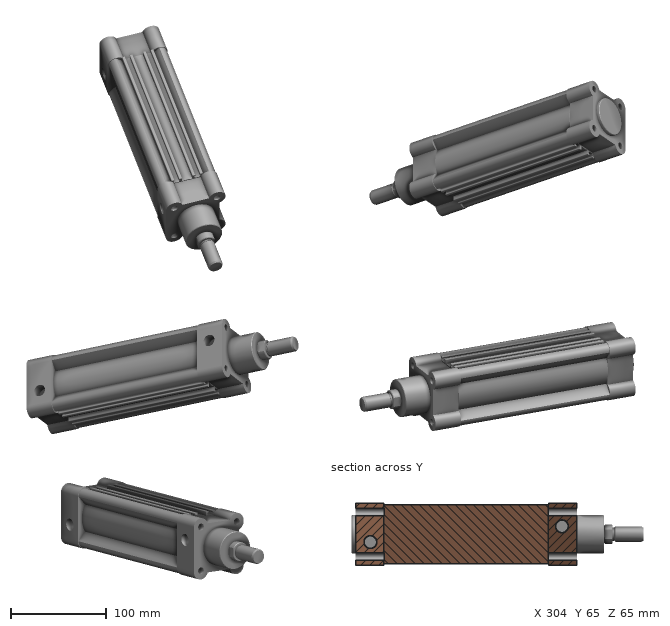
import cadquery as cq
import math

total_length = 304.0
rear_spigot_length = 4.0
cap_length = 29.5
barrel_length = 171.8
collar_end = 263.0
land_end = 272.0
thread_start = 273.5

rear_cap_start = rear_spigot_length
barrel_start = rear_cap_start + cap_length
front_cap_start = barrel_start + barrel_length
front_cap_end = front_cap_start + cap_length

cap_half_size = 32.5
bolt_offset = 23.25
lobe_radius = cap_half_size - bolt_offset
recess_offset = 26.0
bolt_hole_radius = 3.5
spigot_radius = 20.0
rear_spigot_chamfer = 0.5
collar_chamfer = 0.5
port_radius = 6.5
port_depth = 12.2
port_inset = 15.5
port_z = 8.2

barrel_half_size = 31.5
barrel_corner_radius = 8.0
barrel_corner_center = barrel_half_size - barrel_corner_radius
bulge_radius = 27.5
bulge_half_width = 14.45
bulge_edge_height = math.sqrt(bulge_radius**2 - bulge_half_width**2)

slot_center = 11.4
rail_half_width = 5.8
lip_round = 0.5
slot_mouth_half_width = 2.58
slot_wide_half_width = 4.0
slot_floor_half_width = 2.7
slot_lip_z = 30.5
slot_wide_z = 29.2
slot_floor_z = 27.0
rail_base_z = 21.3

rod_radius = 10.0
flats_width = 17.3
land_rear_chamfer = 1.2
land_front_chamfer = 0.5
shank_radius = rod_radius - land_rear_chamfer
neck_radius = 7.0
thread_radius = 8.0
thread_start_chamfer = 1.2
thread_end_chamfer = 1.8


def disc(start, end, radius):
    """Cylinder on the X axis between two X positions."""
    return cq.Workplane("YZ", origin=(start, 0, 0)).circle(radius).extrude(end - start)


def corner_points():
    return [(y * bolt_offset, z * bolt_offset) for y in (-1, 1) for z in (-1, 1)]


def cap_block(start):
    """Cap with four round lobes: flush at -Y, recessed between the lobes on the other sides."""
    plane = cq.Workplane("YZ", origin=(start, 0, 0))
    block = plane.rect(2 * recess_offset, 2 * recess_offset).extrude(cap_length)
    flush_depth = cap_half_size - bolt_offset
    flush_side = (
        plane.center(-cap_half_size + flush_depth / 2, 0)
        .rect(flush_depth, 2 * bolt_offset)
        .extrude(cap_length)
    )
    lobes = plane.pushPoints(corner_points()).circle(lobe_radius).extrude(cap_length)
    return block.union(flush_side).union(lobes)


def cut_bolt_holes(cap, start):
    holes = (
        cq.Workplane("YZ", origin=(start, 0, 0))
        .pushPoints(corner_points())
        .circle(bolt_hole_radius)
        .extrude(cap_length)
    )
    return cap.cut(holes)


def cut_port(cap, x, z):
    """Blind air port in the -Y face."""
    port = (
        cq.Workplane("XZ", origin=(x, -cap_half_size, z))
        .circle(port_radius)
        .extrude(-port_depth)
    )
    return cap.cut(port)


def make_rear_cap():
    spigot = disc(0, rear_cap_start, spigot_radius).faces("<X").chamfer(rear_spigot_chamfer)
    cap = cap_block(rear_cap_start).union(spigot)
    cap = cut_bolt_holes(cap, rear_cap_start)
    return cut_port(cap, rear_cap_start + port_inset, -port_z)


def make_front_cap():
    collar = disc(front_cap_end, collar_end, spigot_radius).faces(">X").chamfer(collar_chamfer)
    cap = cap_block(front_cap_start).union(collar)
    cap = cut_bolt_holes(cap, front_cap_start)
    cap = cut_port(cap, front_cap_end - port_inset, port_z)
    return cap.cut(disc(front_cap_start, collar_end, shank_radius))


def make_rail(center_y):
    """Rail on the top side: two lips with rounded edges around an undercut slot."""
    plane = cq.Workplane("YZ", origin=(barrel_start, center_y, 0))

    right_wall = [
        (slot_mouth_half_width, barrel_half_size),
        (slot_mouth_half_width, slot_lip_z),
        (slot_wide_half_width, slot_wide_z),
        (slot_floor_half_width, slot_floor_z),
    ]
    left_wall = [(-y, z) for y, z in reversed(right_wall)]
    slot = plane.polyline(right_wall + left_wall).close().extrude(barrel_length)
    height = barrel_half_size - rail_base_z
    bar = (
        plane.center(0, rail_base_z + height / 2)
        .rect(2 * rail_half_width, height)
        .extrude(barrel_length)
    )
    return bar.cut(slot).faces(">Z").edges("|X").fillet(lip_round)


def barrel_core():
    """Round bulge on each side, joined by sloping faces to the rounded corners."""
    profile = cq.Workplane("YZ", origin=(barrel_start, 0, 0)).moveTo(bulge_edge_height, -bulge_half_width)
    diagonal = barrel_corner_center + barrel_corner_radius * math.sqrt(0.5)
    for quarter in range(4):
        turn = quarter * math.pi / 2

        def turned(y, z):
            return (y * math.cos(turn) - z * math.sin(turn), y * math.sin(turn) + z * math.cos(turn))

        profile = (
            profile.threePointArc(turned(bulge_radius, 0), turned(bulge_edge_height, bulge_half_width))
            .lineTo(*turned(barrel_half_size, barrel_corner_center))
            .threePointArc(turned(diagonal, diagonal), turned(barrel_corner_center, barrel_half_size))
            .lineTo(*turned(bulge_half_width, bulge_edge_height))
        )
    return profile.close().extrude(barrel_length)


def make_barrel():
    barrel = barrel_core()
    for center_y in (-slot_center, slot_center):
        top_rail = make_rail(center_y)
        bottom_rail = top_rail.mirror("XY")
        barrel = barrel.union(top_rail).union(bottom_rail)
    return barrel


def make_piston_rod():
    """Shank in the front cap, then a land with two wrench flats, a neck and a thread-sized end."""
    shank = disc(front_cap_start, collar_end, shank_radius)
    land = (
        disc(collar_end, land_end, rod_radius)
        .faces("<X").chamfer(land_rear_chamfer)
        .faces(">X").chamfer(land_front_chamfer)
    )
    flats = (
        cq.Workplane("YZ", origin=(collar_end, 0, 0))
        .rect(flats_width, 2 * rod_radius)
        .extrude(land_end - collar_end)
    )
    land = land.intersect(flats)
    neck = disc(land_end, thread_start, neck_radius)
    thread = (
        disc(thread_start, total_length, thread_radius)
        .faces("<X").chamfer(thread_start_chamfer)
        .faces(">X").chamfer(thread_end_chamfer, thread_end_chamfer / 2)
    )
    return shank.union(land).union(neck).union(thread)


rear_cap = make_rear_cap()
barrel = make_barrel()
front_cap = make_front_cap()
piston_rod = make_piston_rod()

result = cq.Compound.makeCompound(
    [rear_cap.val(), barrel.val(), front_cap.val(), piston_rod.val()]
)